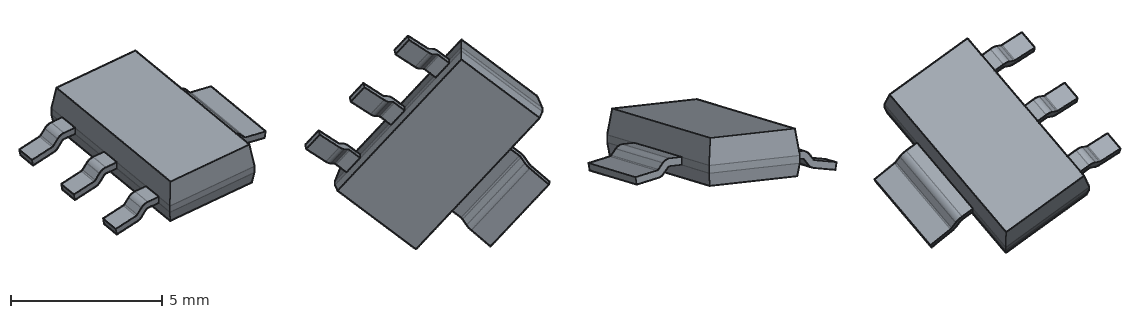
import cadquery as cq
import math


total_length = 7.09
total_height = 1.65

housing_width = 6.5
housing_depth = 3.52
upper_height = 0.885
upper_inset = 0.12
lower_height = 0.455
lower_inset = 0.065

strip_thickness = 0.26
bend_inner_radius = 0.085
slope_angle = math.radians(50)
foot_angle = math.radians(10)
foot_length = 0.85

lead_count = 3
lead_width = 0.7
lead_pitch = 2.3
tab_width = 3.005

band_top = total_height - upper_height
band_bottom = band_top - strip_thickness
housing_face = housing_depth / 2
strip_reach = (total_length - housing_depth) / 2
bend_outer_radius = bend_inner_radius + strip_thickness


def polar(center, radius, angle):
    """Point at a distance from center, its direction tilted outward from +Z by angle."""
    return (center[0] + radius * math.sin(angle), center[1] + radius * math.cos(angle))


def tapered_block(base_z, height, inset):
    """Rectangular frustum from the housing outline; a negative height goes downward."""
    return (
        cq.Workplane("XY", origin=(0, 0, base_z))
        .rect(housing_width, housing_depth)
        .workplane(offset=height)
        .rect(housing_width - 2 * inset, housing_depth - 2 * inset)
        .loft(ruled=True)
    )


def make_housing():
    band = cq.Workplane("XY", origin=(0, 0, band_bottom)).box(
        housing_width, housing_depth, strip_thickness, centered=(True, True, False)
    )
    upper = tapered_block(band_top, upper_height, upper_inset)
    lower = tapered_block(band_bottom, -lower_height, lower_inset)
    return band.union(upper).union(lower)


def make_strip(width):
    """Bent strip running from the housing face toward +Y, centred on X = 0."""
    tip_top = (strip_reach, strip_thickness * math.cos(foot_angle))
    tip_bottom = (strip_reach - strip_thickness * math.sin(foot_angle), 0)
    foot_rise = foot_length * math.sin(foot_angle)
    foot_run = foot_length * math.cos(foot_angle)
    foot_top = (tip_top[0] - foot_run, tip_top[1] + foot_rise)

    lower_center = polar(foot_top, bend_inner_radius, foot_angle)
    upper_center_z = band_bottom - bend_inner_radius
    center_drop = upper_center_z - lower_center[1]
    center_gap = bend_inner_radius + bend_outer_radius
    slope_drop = center_drop + center_gap * math.cos(slope_angle)
    slope_run = slope_drop / math.tan(slope_angle)
    upper_center_y = lower_center[0] - center_gap * math.sin(slope_angle) - slope_run
    upper_center = (upper_center_y, upper_center_z)

    upper_mid_angle = slope_angle / 2
    lower_mid_angle = (slope_angle + foot_angle) / 2
    profile = (
        cq.Workplane("YZ", origin=(-width / 2, housing_face, 0))
        .moveTo(0, band_top)
        .lineTo(upper_center_y, band_top)
        .threePointArc(
            polar(upper_center, bend_outer_radius, upper_mid_angle),
            polar(upper_center, bend_outer_radius, slope_angle),
        )
        .lineTo(*polar(lower_center, -bend_inner_radius, slope_angle))
        .threePointArc(polar(lower_center, -bend_inner_radius, lower_mid_angle), foot_top)
        .lineTo(*tip_top)
        .lineTo(*tip_bottom)
        .lineTo(*polar(lower_center, -bend_outer_radius, foot_angle))
        .threePointArc(
            polar(lower_center, -bend_outer_radius, lower_mid_angle),
            polar(lower_center, -bend_outer_radius, slope_angle),
        )
        .lineTo(*polar(upper_center, bend_inner_radius, slope_angle))
        .threePointArc(
            polar(upper_center, bend_inner_radius, upper_mid_angle),
            (upper_center_y, band_bottom),
        )
        .lineTo(0, band_bottom)
        .close()
    )
    return profile.extrude(width)


def make_tab():
    return make_strip(tab_width)


def make_lead(x):
    """Lead on the -Y face, centred at the given X."""
    strip = make_strip(lead_width)
    return strip.rotate((0, 0, 0), (0, 0, 1), 180).translate((x, 0, 0))


housing = make_housing()
tab = make_tab()
leads = []
for index in range(lead_count):
    lead_x = (index - (lead_count - 1) / 2) * lead_pitch
    leads.append(make_lead(lead_x))

result = cq.Compound.makeCompound([housing.val(), tab.val(), *[lead.val() for lead in leads]])